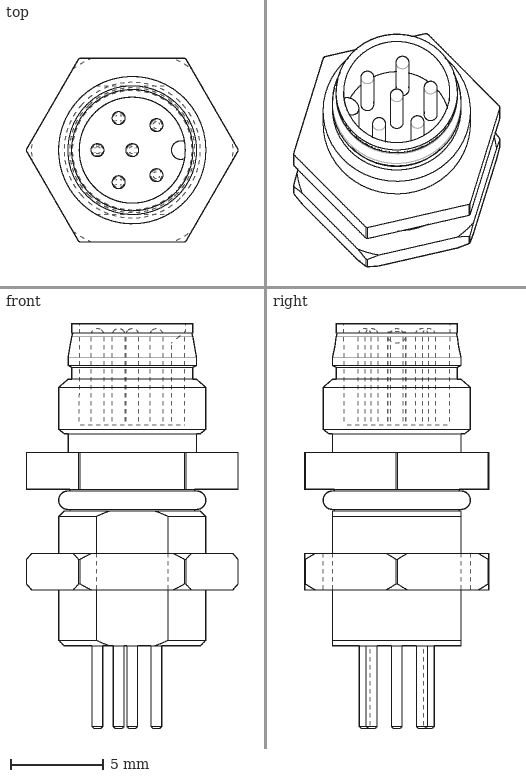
import cadquery as cq
import math

TOTAL_HEIGHT = 22.0
LIP_BOTTOM = 21.5
TAPER_TOP = 21.3
TAPER_BOTTOM = 20.17
BARB_BOTTOM = 19.73
BARB_CHAMFER_BOTTOM = 19.62
COLLAR_TOP = 18.99
COLLAR_SHOULDER = 18.55
COLLAR_LOWER_EDGE = 16.25
COLLAR_BOTTOM = 16.02
FLANGE_TOP = 15.0
BODY_TOP = 11.84
NUT_TOP = 9.53
BODY_BOTTOM = 4.49

LIP_DIAMETER = 6.6
LIP_GROOVE_DIAMETER = 6.5
NECK_DIAMETER = 7.0
COLLAR_DIAMETER = 8.0
COLLAR_BOTTOM_CHAMFER = 0.3
SEAL_GROOVE_DIAMETER = 6.8

BODY_DIAMETER = COLLAR_DIAMETER
BODY_CHAMFER = 0.3
BODY_FLATS = NECK_DIAMETER

HEX_FLATS = 10.0
HEX_CORNER_DIAMETER = 11.5
HEX_THICKNESS = 2.0
NUT_CHAMFER_WIDTH = 0.29
NUT_CHAMFER_HEIGHT = 0.33

SEAL_OUTER_DIAMETER = COLLAR_DIAMETER
SEAL_SECTION_DIAMETER = 1.01
SEAL_LEVEL = 12.4

BORE_DIAMETER = 5.76
BORE_DEPTH = 5.5
KEY_DIAMETER = 1.01
KEY_OFFSET = 2.65
KEY_TOP_DROP = 0.42
KEY_SLOPE_ANGLE = 40.0

PIN_TIP_DIAMETER = 0.7
PIN_TAIL_DIAMETER = 0.6
PIN_TIP_DROP = 0.26
PIN_TAIL_CHAMFER = 0.1
PIN_CIRCLE_RADIUS = 1.9
PIN_ANGLES = (46.0, 113.0, 180.0, 247.0, 314.0)

FLANGE_BOTTOM = FLANGE_TOP - HEX_THICKNESS
NUT_BOTTOM = NUT_TOP - HEX_THICKNESS
BORE_FLOOR = TOTAL_HEIGHT - BORE_DEPTH


def revolve_profile(points):
    """Revolve a closed (radius, height) outline about the Z axis."""
    return cq.Workplane("XZ").polyline(points).close().revolve(360, (0, 0, 0), (0, 1, 0))


def cylinder(diameter, bottom, top):
    return cq.Workplane("XY").workplane(offset=bottom).circle(diameter / 2).extrude(top - bottom)


def make_shell():
    lip = LIP_DIAMETER / 2
    neck = NECK_DIAMETER / 2
    collar = COLLAR_DIAMETER / 2
    groove = SEAL_GROOVE_DIAMETER / 2
    return revolve_profile([
        (0, TOTAL_HEIGHT),
        (lip, TOTAL_HEIGHT),
        (lip, LIP_BOTTOM),
        (LIP_GROOVE_DIAMETER / 2, LIP_BOTTOM),
        (lip, TAPER_TOP),
        (neck, TAPER_BOTTOM),
        (neck, BARB_BOTTOM),
        (lip, BARB_CHAMFER_BOTTOM),
        (lip, COLLAR_TOP),
        (neck, COLLAR_TOP),
        (collar, COLLAR_SHOULDER),
        (collar, COLLAR_LOWER_EDGE),
        (collar - COLLAR_BOTTOM_CHAMFER, COLLAR_BOTTOM),
        (neck, COLLAR_BOTTOM),
        (neck, FLANGE_BOTTOM),
        (groove, FLANGE_BOTTOM),
        (groove, BODY_TOP),
        (0, BODY_TOP),
    ])


def make_body():
    """Chamfered round body with flats facing -Y and +Y."""
    body = cylinder(BODY_DIAMETER, BODY_BOTTOM, BODY_TOP).faces("<Z or >Z").chamfer(BODY_CHAMFER)
    flats = (
        cq.Workplane("XY")
        .workplane(offset=BODY_BOTTOM)
        .rect(BODY_DIAMETER, BODY_FLATS)
        .extrude(BODY_TOP - BODY_BOTTOM)
    )
    return body.intersect(flats)


def make_hexagon(bottom):
    """Hexagonal plate with two corners on the X axis, its corners trimmed to a cylinder."""
    sharp_diameter = HEX_FLATS / math.cos(math.radians(30))
    plate = cq.Workplane("XY").workplane(offset=bottom).polygon(6, sharp_diameter).extrude(HEX_THICKNESS)
    return plate.intersect(cylinder(HEX_CORNER_DIAMETER, bottom, bottom + HEX_THICKNESS))


def make_nut():
    """Chamfered nut whose round hole leaves a gap over each body flat."""
    corner = HEX_CORNER_DIAMETER / 2
    face = corner - NUT_CHAMFER_WIDTH
    chamfer_envelope = revolve_profile([
        (0, NUT_BOTTOM),
        (face, NUT_BOTTOM),
        (corner, NUT_BOTTOM + NUT_CHAMFER_HEIGHT),
        (corner, NUT_TOP - NUT_CHAMFER_HEIGHT),
        (face, NUT_TOP),
        (0, NUT_TOP),
    ])
    threaded_hole = cylinder(BODY_DIAMETER, NUT_BOTTOM, NUT_TOP)
    return make_hexagon(NUT_BOTTOM).intersect(chamfer_envelope).cut(threaded_hole)


def make_seal():
    section_center = (SEAL_OUTER_DIAMETER - SEAL_SECTION_DIAMETER) / 2
    return (
        cq.Workplane("XZ")
        .center(-section_center, SEAL_LEVEL)
        .circle(SEAL_SECTION_DIAMETER / 2)
        .revolve(360, (section_center, 0, 0), (section_center, 1, 0))
    )


def make_key():
    """Round key on the +X bore wall, its top sloping down towards the axis."""
    wall = BORE_DIAMETER / 2
    high = TOTAL_HEIGHT - KEY_TOP_DROP
    low = high - wall * math.tan(math.radians(KEY_SLOPE_ANGLE))
    slope_envelope = (
        cq.Workplane("XZ")
        .polyline([(0, BORE_FLOOR), (wall, BORE_FLOOR), (wall, high), (0, low)])
        .close()
        .extrude(KEY_DIAMETER / 2, both=True)
    )
    post = cylinder(KEY_DIAMETER, BORE_FLOOR, TOTAL_HEIGHT).translate((KEY_OFFSET, 0, 0))
    return post.intersect(slope_envelope).intersect(cylinder(BORE_DIAMETER, BORE_FLOOR, TOTAL_HEIGHT))


def make_pin(x, y):
    """Contact pin with a domed tip in the socket and a thinner tail below the body."""
    tip_radius = PIN_TIP_DIAMETER / 2
    dome_center = TOTAL_HEIGHT - PIN_TIP_DROP - tip_radius
    tail = cylinder(PIN_TAIL_DIAMETER, 0, BORE_FLOOR).faces("<Z").chamfer(PIN_TAIL_CHAMFER)
    tip = cylinder(PIN_TIP_DIAMETER, BORE_FLOOR, dome_center)
    dome = cq.Workplane("XY").sphere(tip_radius).translate((0, 0, dome_center))
    return tail.union(tip).union(dome).translate((x, y, 0))


def pin_centers():
    """One pin on the axis and the rest on a circle, with a gap for the key."""
    centers = [(0, 0)]
    for angle in PIN_ANGLES:
        turn = math.radians(angle)
        centers.append((PIN_CIRCLE_RADIUS * math.cos(turn), PIN_CIRCLE_RADIUS * math.sin(turn)))
    return centers


flange = make_hexagon(FLANGE_BOTTOM)
socket = cylinder(BORE_DIAMETER, BORE_FLOOR, TOTAL_HEIGHT)

result = make_shell().union(make_body()).union(flange).union(make_nut()).union(make_seal())
result = result.cut(socket).union(make_key())
for pin_x, pin_y in pin_centers():
    result = result.union(make_pin(pin_x, pin_y))